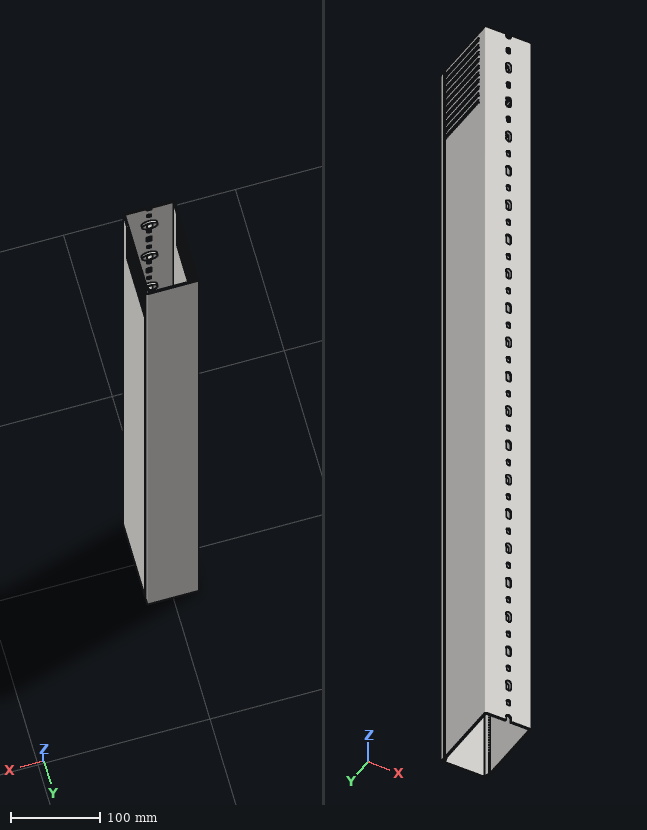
import cadquery as cq
WIDTH = 60.0
DEPTH = 100.0
LENGTH = 1000.0

WALL = 2.0
OUTER_BEND_RADIUS = 1.5

LID_WALL = 2.0
LID_FLANGE = 7.0
LID_BEND_RADIUS = 0.5

JOG_START_Y = 39.3
JOG_OFFSET = 2.5
JOG_RUN = 3 * JOG_OFFSET

HOLE_PITCH = 50.0
HOLE_WIDTH = 6.5
HOLE_HEIGHT = 14.0
FIRST_HOLE_Z = 1.5
HOLE_COUNT = 21

BOSS_DIAMETER = 18.0
BOSS_HEIGHT = 3.0
BOSS_PITCH = 2 * HOLE_PITCH
FIRST_BOSS_Z = FIRST_HOLE_Z + HOLE_PITCH
BOSS_COUNT = 10

SMALL_SLOT_WIDTH = 5.0
SMALL_SLOT_HEIGHT = 8.0
FIRST_SMALL_SLOT_Z = FIRST_HOLE_Z + HOLE_PITCH / 2
SMALL_SLOT_COUNT = 20

LOUVRE_START_Y = -34.5
LOUVRE_LENGTH = 76.0
LOUVRE_HEIGHT = 4.0
LOUVRE_PITCH = 10.0
LOUVRE_COUNT = 10
FIRST_LOUVRE_DEPTH = 8.5

BACK_Y = -DEPTH / 2
FRONT_Y = DEPTH / 2
LIP_END_Y = FRONT_Y - LID_WALL


def row(first, pitch, count):
    """Points on the centre line of the mounting wall, evenly spaced along Z."""
    return [(0, first + pitch * i) for i in range(count)]


def side_profile(inset):
    """Right-hand wall line from the mounting wall to the lip, moved inward by inset."""
    x = WIDTH / 2 - inset
    return [
        (x, BACK_Y + inset),
        (x, JOG_START_Y),
        (x - JOG_OFFSET, JOG_START_Y + JOG_RUN),
        (x - JOG_OFFSET, LIP_END_Y),
    ]


def mirrored(points):
    return [(-x, y) for x, y in points]


def channel():
    """U-shaped sheet with stepped lips and rounded outer bends."""
    outer = side_profile(0)
    inner = side_profile(WALL)
    outline = outer + inner[::-1] + mirrored(inner) + mirrored(outer[::-1])
    body = cq.Workplane("XY").polyline(outline).close().extrude(LENGTH)
    return body.faces("<Y").edges("|Z").fillet(OUTER_BEND_RADIUS)


def bosses():
    """Discs standing on the inside of the mounting wall."""
    plane = cq.Workplane("XZ", origin=(0, BACK_Y + WALL + BOSS_HEIGHT, 0))
    points = row(FIRST_BOSS_Z, BOSS_PITCH, BOSS_COUNT)
    return plane.pushPoints(points).circle(BOSS_DIAMETER / 2).extrude(WALL / 2 + BOSS_HEIGHT)


def wall_slots(points, width, height):
    """Round-ended cutters through the mounting wall and its bosses."""
    cut_depth = WALL + BOSS_HEIGHT
    plane = cq.Workplane("XZ", origin=(0, BACK_Y + cut_depth, 0))
    return plane.pushPoints(points).slot2D(height, width, 90).extrude(cut_depth)


def louvres():
    """Flat slots that pass through both side walls."""
    centre_y = LOUVRE_START_Y + LOUVRE_LENGTH / 2
    points = [(centre_y, LENGTH - FIRST_LOUVRE_DEPTH - LOUVRE_PITCH * i) for i in range(LOUVRE_COUNT)]
    plane = cq.Workplane("YZ", origin=(-WIDTH / 2, 0, 0))
    return plane.pushPoints(points).rect(LOUVRE_LENGTH, LOUVRE_HEIGHT).extrude(WIDTH)


def make_base():
    """Perforated channel."""
    holes = wall_slots(row(FIRST_HOLE_Z, HOLE_PITCH, HOLE_COUNT), HOLE_WIDTH, HOLE_HEIGHT)
    small_slots = wall_slots(
        row(FIRST_SMALL_SLOT_Z, HOLE_PITCH, SMALL_SLOT_COUNT), SMALL_SLOT_WIDTH, SMALL_SLOT_HEIGHT
    )
    return channel().union(bosses()).cut(holes).cut(small_slots).cut(louvres())


def make_lid():
    """Flat cover with two short flanges outside the lips of the base."""
    centred_x = (True, False, False)
    flange_y = FRONT_Y - LID_FLANGE
    cover = cq.Workplane("XY", origin=(0, flange_y, 0)).box(WIDTH, LID_FLANGE, LENGTH, centered=centred_x)
    cavity = cq.Workplane("XY", origin=(0, flange_y, 0)).box(
        WIDTH - 2 * LID_WALL, LID_FLANGE - LID_WALL, LENGTH, centered=centred_x
    )
    return cover.cut(cavity).faces(">Y").edges("|Z").fillet(LID_BEND_RADIUS)


base = make_base()
lid = make_lid()

result = cq.Compound.makeCompound([base.val(), lid.val()])